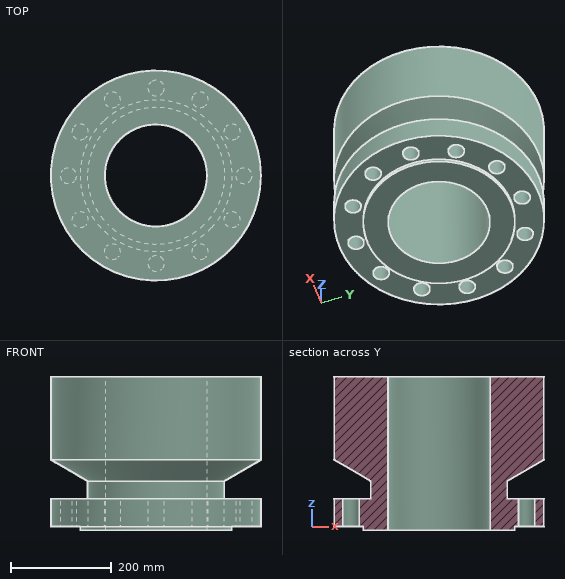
import cadquery as cq

outer_diameter = 419.0
bore_diameter = 202.8
total_height = 306.3

raised_face_diameter = 302.5
raised_face_height = 7.5
flange_thickness = 55.7

neck_diameter = 273.0
neck_height = 34.8
cone_height = 42.5

bolt_count = 12
bolt_hole_diameter = 32.0
bolt_circle_diameter = 349.5

outer_radius = outer_diameter / 2
bore_radius = bore_diameter / 2
raised_face_radius = raised_face_diameter / 2
neck_radius = neck_diameter / 2
flange_top = raised_face_height + flange_thickness
neck_top = flange_top + neck_height
cone_top = neck_top + cone_height


def revolved_body():
    """Half section beside the Z axis, turned once around it."""
    section = (
        cq.Workplane("XZ")
        .moveTo(bore_radius, 0)
        .lineTo(raised_face_radius, 0)
        .lineTo(raised_face_radius, raised_face_height)
        .lineTo(outer_radius, raised_face_height)
        .lineTo(outer_radius, flange_top)
        .lineTo(neck_radius, flange_top)
        .lineTo(neck_radius, neck_top)
        .lineTo(outer_radius, cone_top)
        .lineTo(outer_radius, total_height)
        .lineTo(bore_radius, total_height)
        .close()
    )
    return section.revolve(360, (0, 0, 0), (0, 1, 0))


def bolt_holes():
    """Ring of cylinders as long as the flange is thick; holes lie on the X and Y axes."""
    return (
        cq.Workplane("XY")
        .workplane(offset=raised_face_height)
        .polarArray(bolt_circle_diameter / 2, 0, 360, bolt_count)
        .circle(bolt_hole_diameter / 2)
        .extrude(flange_thickness)
    )


result = revolved_body().cut(bolt_holes())